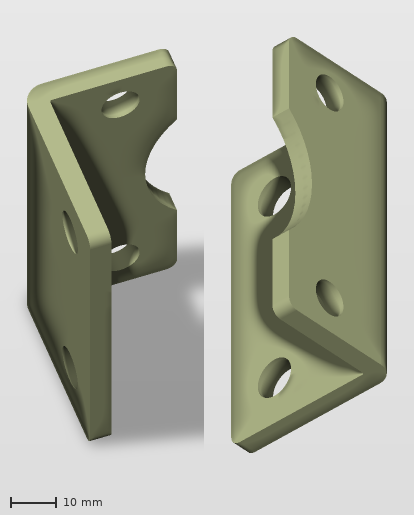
import cadquery as cq
import math

length_x = 45.0
length_y = 35.0
height = 75.0
thickness = 5.0
bend_outer_radius = 5.0
bend_inner_radius = 0.5
corner_radius = 2.5

front_hole_diameter = 10.0
front_hole_x = 32.0
front_hole_spacing = 50.0

clearance_radius = 22.5
clearance_centre_y = 50.0
bolt_circle_diameter = 80.0
bolt_angle = math.radians(45.0)
bolt_hole_diameter = 9.0

mid_height = height / 2
bolt_offset = bolt_circle_diameter / 2 * math.sin(bolt_angle)
bolt_hole_y = clearance_centre_y - bolt_circle_diameter / 2 * math.cos(bolt_angle)


def angle_blank():
    """Bent L profile in XY, standing the full height, with rounded free corners."""
    outline = [
        (0, 0),
        (length_x, 0),
        (length_x, thickness),
        (thickness, thickness),
        (thickness, length_y),
        (0, length_y),
    ]
    blank = cq.Workplane("XY").polyline(outline).close().extrude(height)
    outer_corner = cq.selectors.NearestToPointSelector((0, 0, mid_height))
    inner_corner = cq.selectors.NearestToPointSelector((thickness, thickness, mid_height))
    blank = blank.edges("|Z").edges(outer_corner).fillet(bend_outer_radius)
    blank = blank.edges("|Z").edges(inner_corner).fillet(bend_inner_radius)
    blank = blank.faces(">X").edges("|Y").fillet(corner_radius)
    return blank.faces(">Y").edges("|X").fillet(corner_radius)


def cylinder_along_y(diameter, x, z):
    """Cutter through the front leg."""
    direction = cq.Vector(0, 1, 0)
    return cq.Solid.makeCylinder(diameter / 2, thickness, cq.Vector(x, 0, z), direction)


def cylinder_along_x(diameter, y, z):
    """Cutter through the side leg."""
    direction = cq.Vector(1, 0, 0)
    return cq.Solid.makeCylinder(diameter / 2, thickness, cq.Vector(0, y, z), direction)


result = angle_blank()
for side in (-1, 1):
    front_hole_z = mid_height + side * front_hole_spacing / 2
    bolt_hole_z = mid_height + side * bolt_offset
    result = result.cut(cylinder_along_y(front_hole_diameter, front_hole_x, front_hole_z))
    result = result.cut(cylinder_along_x(bolt_hole_diameter, bolt_hole_y, bolt_hole_z))
result = result.cut(cylinder_along_x(2 * clearance_radius, clearance_centre_y, mid_height))